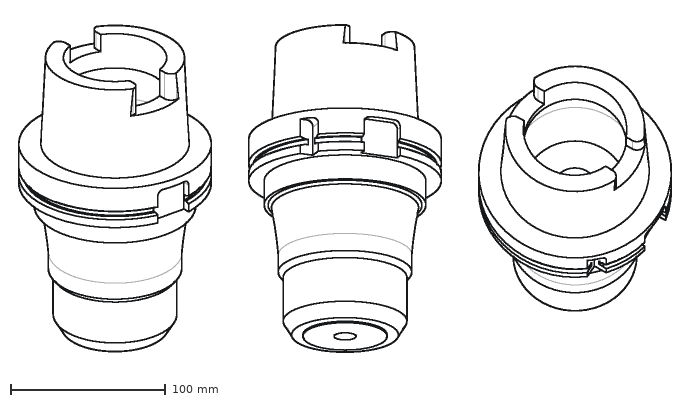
import cadquery as cq

total_height = 198.0
flange_top = 135.0
groove_top_edge = 118.0
groove_top_floor = 116.8
groove_bottom_floor = 113.0
groove_bottom_edge = 112.0
flange_bottom = 106.3
collar_bottom = 89.9
neck_top = 88.1
neck_middle = 72.3
neck_bottom = 55.8
band_bottom = 44.0
nose_top = 40.2
nose_chamfer_top = 10.3
nose_lip = 1.0

shank_top_radius = 45.1
shank_bottom_radius = 48.1
flange_diameter = 125.0
flange_radius = flange_diameter / 2
groove_shoulder_radius = 59.8
groove_radius = 58.2
collar_radius = 52.5
relief_radius = 49.9
neck_top_radius = 47.7
neck_middle_radius = 45.1
band_radius = 43.4
nose_radius = 40.2
nose_face_radius = 34.6
nose_lip_radius = 27.3

mouth_radius = 33.5
chamber_radius = 40.0
chamber_top = 172.9
chamber_cone_top = 147.7
chamber_floor = 110.9
counterbore_radius = 14.0
counterbore_depth = 19.8
through_hole_radius = 7.1

end_slot_width = 25.0
end_slot_fillet = 5.5
end_slot_flat = 41.5
end_slot_floors = {-1: 185.5, 1: 178.8}

key_slot_width = 25.3
pocket_top = 129.9
key_slot_flat = 56.2
pocket_fillet = 4.0
notch_inner_x = 39.5
notch_inner_y = 39.6


def make_body():
    profile = (
        cq.Workplane("YZ")
        .lineTo(nose_lip_radius, 0)
        .lineTo(nose_lip_radius, nose_lip)
        .lineTo(nose_face_radius, nose_lip)
        .lineTo(nose_radius, nose_chamfer_top)
        .lineTo(nose_radius, nose_top)
        .lineTo(band_radius, band_bottom)
        .lineTo(band_radius, neck_bottom)
        .threePointArc((neck_middle_radius, neck_middle), (neck_top_radius, neck_top))
        .lineTo(relief_radius, collar_bottom)
        .lineTo(collar_radius, collar_bottom)
        .lineTo(collar_radius, flange_bottom)
        .lineTo(flange_radius, flange_bottom)
        .lineTo(flange_radius, groove_bottom_edge)
        .lineTo(groove_shoulder_radius, groove_bottom_floor)
        .lineTo(groove_radius, groove_bottom_floor)
        .lineTo(groove_radius, groove_top_floor)
        .lineTo(groove_shoulder_radius, groove_top_floor)
        .lineTo(flange_radius, groove_top_edge)
        .lineTo(flange_radius, flange_top)
        .lineTo(shank_bottom_radius, flange_top)
        .lineTo(shank_top_radius, total_height)
        .lineTo(0, total_height)
        .close()
    )
    return profile.revolve(360, (0, 0, 0), (0, 1, 0))


def make_bore():
    profile = (
        cq.Workplane("YZ")
        .lineTo(through_hole_radius, 0)
        .lineTo(through_hole_radius, chamber_floor - counterbore_depth)
        .lineTo(counterbore_radius, chamber_floor - counterbore_depth)
        .lineTo(counterbore_radius, chamber_floor)
        .lineTo(mouth_radius, chamber_floor)
        .lineTo(chamber_radius, chamber_cone_top)
        .lineTo(chamber_radius, chamber_top)
        .lineTo(mouth_radius, chamber_top)
        .lineTo(mouth_radius, total_height)
        .lineTo(0, total_height)
        .close()
    )
    return profile.revolve(360, (0, 0, 0), (0, 1, 0))


def make_end_slot(side):
    """Slot through the shank wall whose sides flare out, by arcs, to a flat outer step."""
    half_width = end_slot_width / 2
    flare_start = end_slot_flat - end_slot_fillet
    flare_half_width = half_width + end_slot_fillet
    outside = flange_radius
    diagonal = end_slot_fillet * 0.5**0.5
    arc_middle = (side * (flare_start + diagonal), flare_half_width - diagonal)
    floor = end_slot_floors[side]
    return (
        cq.Workplane("XY", origin=(0, 0, floor))
        .moveTo(0, -half_width)
        .lineTo(side * flare_start, -half_width)
        .threePointArc((arc_middle[0], -arc_middle[1]), (side * end_slot_flat, -flare_half_width))
        .lineTo(side * end_slot_flat, -outside)
        .lineTo(side * outside, -outside)
        .lineTo(side * outside, outside)
        .lineTo(side * end_slot_flat, outside)
        .lineTo(side * end_slot_flat, flare_half_width)
        .threePointArc(arc_middle, (side * flare_start, half_width))
        .lineTo(0, half_width)
        .close()
        .extrude(total_height - floor)
    )


def make_flange_pocket(x_range, y_range, rounded_edges):
    """Box open at the flange underside, with its chosen upper edges along X rounded."""
    return (
        cq.Workplane("XY")
        .box(
            x_range[1] - x_range[0],
            y_range[1] - y_range[0],
            pocket_top - flange_bottom,
            centered=False,
        )
        .edges(rounded_edges)
        .fillet(pocket_fillet)
        .translate((x_range[0], y_range[0], flange_bottom))
    )


result = make_body().cut(make_bore())

for side in end_slot_floors:
    result = result.cut(make_end_slot(side))

half_key_slot = key_slot_width / 2
for x_range in ((-flange_radius, -key_slot_flat), (key_slot_flat, flange_radius)):
    result = result.cut(make_flange_pocket(x_range, (-half_key_slot, half_key_slot), "|X and >Z"))

notch_x = (-flange_radius, -notch_inner_x)
notch_y = (notch_inner_y, flange_radius)
result = result.cut(make_flange_pocket(notch_x, notch_y, "|X and >Z and <Y"))